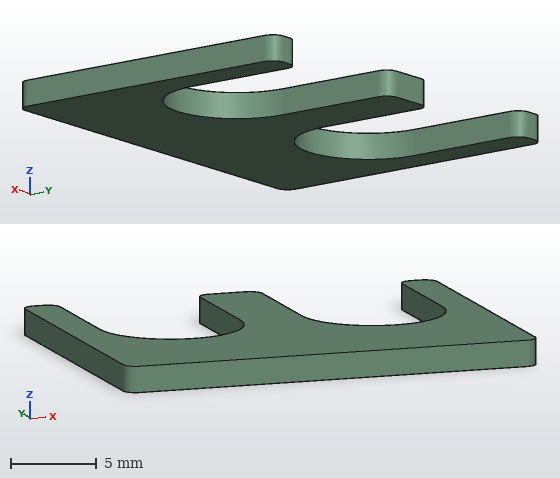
import cadquery as cq

plate_width = 25.4
plate_depth = 19.05
plate_thickness = 1.57
corner_radius = 0.762

slot_width = 8.636
slot_depth = 12.192
center_tine_width = 3.81

slot_radius = slot_width / 2
slot_offset = (center_tine_width + slot_width) / 2
open_edge_y = plate_depth / 2
slot_arc_center_y = open_edge_y - slot_depth + slot_radius


def make_plate():
    return cq.Workplane("XY").rect(plate_width, plate_depth).extrude(plate_thickness)


def make_slot(center_x):
    """Straight-sided slot with a half-round bottom, centered on center_x."""
    left = center_x - slot_radius
    right = center_x + slot_radius
    return (
        cq.Workplane("XY")
        .moveTo(left, open_edge_y)
        .lineTo(left, slot_arc_center_y)
        .threePointArc((center_x, slot_arc_center_y - slot_radius), (right, slot_arc_center_y))
        .lineTo(right, open_edge_y)
        .close()
        .extrude(plate_thickness)
    )


def round_corners(body):
    """Round the plate's front corners and every tine tip."""
    return body.edges("(|Z and <Y) or (|Z and >Y)").fillet(corner_radius)


comb = make_plate()
for side in (-1, 1):
    comb = comb.cut(make_slot(side * slot_offset))

result = round_corners(comb)